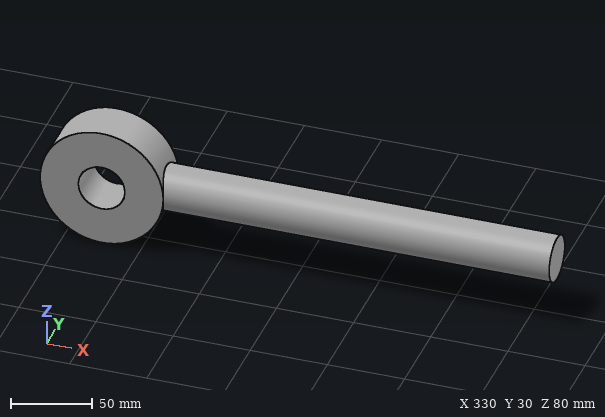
import cadquery as cq

overall_length = 330.0
eye_diameter = 80.0
rod_diameter = 30.0
hole_diameter = 30.0
eye_thickness = rod_diameter

eye_radius = eye_diameter / 2
rod_end_x = overall_length - eye_radius
rod_start_x = (eye_radius + hole_diameter / 2) / 2


def make_eye():
    """Flat round ring with a through bore along Y."""
    return (
        cq.Workplane("XZ", origin=(0, eye_thickness / 2, 0))
        .circle(eye_radius)
        .circle(hole_diameter / 2)
        .extrude(eye_thickness)
    )


def make_rod():
    """Plain round rod starting within the eye wall."""
    return (
        cq.Workplane("YZ", origin=(rod_start_x, 0, 0))
        .circle(rod_diameter / 2)
        .extrude(rod_end_x - rod_start_x)
    )


result = make_eye().union(make_rod())